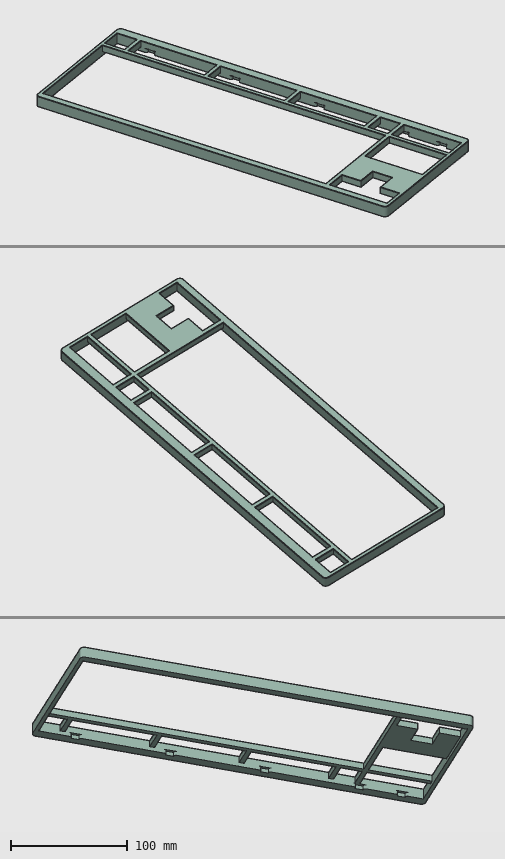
import cadquery as cq
LENGTH = 355.5
WIDTH = 135.5
HEIGHT = 10.3
CORNER_RADIUS = 4.0
TOP_CHAMFER = 0.43

SIDE_MARGIN = 4.0
FRONT_MARGIN = 7.0
CLEARANCE = 0.18
MAIN_COLUMNS = 15
MAIN_ROWS = 5
SIDE_COLUMNS = 3
NAVIGATION_ROWS = 2
FUNCTION_GROUPS = [1, 4, 4, 4, 1]
GAP_KEYS = 0.25

LAYOUT_LENGTH = LENGTH - 2 * SIDE_MARGIN
KEY_PITCH = LAYOUT_LENGTH / (MAIN_COLUMNS + GAP_KEYS + SIDE_COLUMNS)
LAYOUT_WIDTH = (MAIN_ROWS + GAP_KEYS + 1) * KEY_PITCH

LEFT = -LAYOUT_LENGTH / 2
SIDE_LEFT = LEFT + (MAIN_COLUMNS + GAP_KEYS) * KEY_PITCH
FRONT = -WIDTH / 2 + FRONT_MARGIN
MAIN_BACK = FRONT + MAIN_ROWS * KEY_PITCH
FUNCTION_FRONT = MAIN_BACK + GAP_KEYS * KEY_PITCH
BACK_WALL = FRONT + LAYOUT_WIDTH + CLEARANCE

RECESS_DEPTH = 4.0
NOTCH_LENGTH = 7.0
NOTCH_DEPTH = 2.5
NOTCH_MOUTH_RADIUS = 1.8
FIRST_NOTCH_X = -140.5
EVEN_NOTCHES = 4
NOTCH_SPACING = 4.5 * KEY_PITCH
LAST_NOTCH_STEP = 2 * KEY_PITCH


def layout_block(left, front, columns, rows, height):
    """Cutter over a block of keys, rising from the underside and grown by the clearance."""
    block = cq.Workplane("XY").box(
        columns * KEY_PITCH + 2 * CLEARANCE,
        rows * KEY_PITCH + 2 * CLEARANCE,
        height,
        centered=False,
    )
    return block.translate((left - CLEARANCE, front - CLEARANCE, 0))


def opening(left, front, columns, rows):
    """Cutter for a through opening."""
    return layout_block(left, front, columns, rows, HEIGHT)


def key_openings():
    """All through openings: main block, function row, navigation block and arrow keys."""
    openings = [opening(LEFT, FRONT, MAIN_COLUMNS, MAIN_ROWS)]

    group_left = LEFT
    for columns in FUNCTION_GROUPS:
        openings.append(opening(group_left, FUNCTION_FRONT, columns, 1))
        group_left += (columns + GAP_KEYS) * KEY_PITCH
    openings.append(opening(SIDE_LEFT, FUNCTION_FRONT, SIDE_COLUMNS, 1))

    navigation_front = MAIN_BACK - NAVIGATION_ROWS * KEY_PITCH
    openings.append(opening(SIDE_LEFT, navigation_front, SIDE_COLUMNS, NAVIGATION_ROWS))

    arrow_row = opening(SIDE_LEFT, FRONT, SIDE_COLUMNS, 1)
    arrow_column = opening(SIDE_LEFT + KEY_PITCH, FRONT, 1, 2)
    openings.append(arrow_row.union(arrow_column))
    return openings


def notch_positions():
    """X centres: evenly spaced notches plus one closer to the right end."""
    positions = [FIRST_NOTCH_X + i * NOTCH_SPACING for i in range(EVEN_NOTCHES)]
    positions.append(positions[-1] + LAST_NOTCH_STEP)
    return positions


def underside_recess():
    """Cutter that thins the bars inside the rim, with round-mouthed notches at the back."""
    layout_columns = LAYOUT_LENGTH / KEY_PITCH
    layout_rows = LAYOUT_WIDTH / KEY_PITCH
    recess = layout_block(LEFT, FRONT, layout_columns, layout_rows, RECESS_DEPTH)

    for x in notch_positions():
        notch = cq.Workplane("XY").box(
            NOTCH_LENGTH, 2 * NOTCH_DEPTH, RECESS_DEPTH, centered=(True, True, False)
        )
        recess = recess.union(notch.translate((x, BACK_WALL, 0)))

    margin = NOTCH_DEPTH / 2
    mouth_edges = cq.selectors.BoxSelector(
        (LEFT + margin, BACK_WALL - margin, 0),
        (-LEFT - margin, BACK_WALL + margin, RECESS_DEPTH),
    )
    return recess.edges("|Z").edges(mouth_edges).fillet(NOTCH_MOUTH_RADIUS)


result = cq.Workplane("XY").box(LENGTH, WIDTH, HEIGHT, centered=(True, True, False))
result = result.edges("|Z").fillet(CORNER_RADIUS)
for cutter in key_openings():
    result = result.cut(cutter)
result = result.faces(">Z").edges().chamfer(TOP_CHAMFER)
result = result.cut(underside_recess())